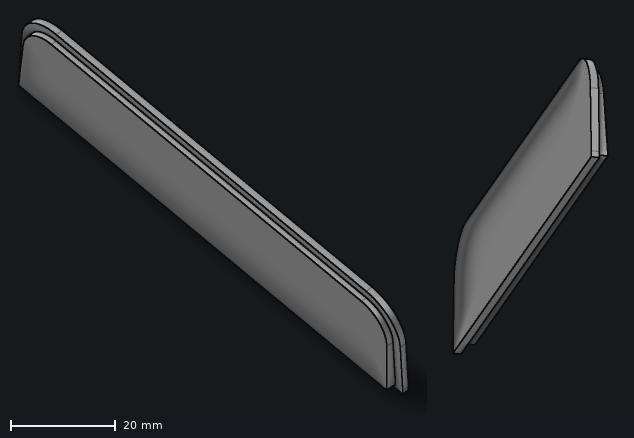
import math

import cadquery as cq

LENGTH = 105.0
HEIGHT = 23.4
DEPTH = 3.86

PLATE_THICKNESS = 1.6
PLATE_CORNER_RADIUS = 9.4
SIDE_ANGLE = 3.0
FOOT_HEIGHT = 1.3

PANEL_INSET = 2.0
FACE_ANGLE = 2.9

PLATE_DRAFT = 1.0
PANEL_DRAFT = 2.0

SIDE_SLOPE = math.tan(math.radians(SIDE_ANGLE))
FACE_SLOPE = math.tan(math.radians(FACE_ANGLE))


def rounded_outline(inset, bottom):
    """Outline at y = 0 with leaning ends and rounded top corners, and a foot if it starts low enough."""
    has_foot = bottom < FOOT_HEIGHT
    top = HEIGHT - inset
    foot_half_length = LENGTH / 2 - inset
    top_half_length = foot_half_length - (top - FOOT_HEIGHT) * SIDE_SLOPE
    corner_radius = PLATE_CORNER_RADIUS - inset

    tangent_length = corner_radius * math.tan(math.radians(90 - SIDE_ANGLE) / 2)
    arc_top_x = top_half_length - tangent_length
    arc_side_x = top_half_length + tangent_length * math.sin(math.radians(SIDE_ANGLE))
    arc_side_z = top - tangent_length * math.cos(math.radians(SIDE_ANGLE))
    bisector = math.radians(90 + SIDE_ANGLE) / 2
    arc_mid_x = arc_top_x + corner_radius * math.cos(bisector)
    arc_mid_z = top - corner_radius + corner_radius * math.sin(bisector)

    sketch = cq.Workplane("XZ").moveTo(-foot_half_length, bottom)
    sketch = sketch.lineTo(foot_half_length, bottom)
    if has_foot:
        sketch = sketch.lineTo(foot_half_length, FOOT_HEIGHT)
    sketch = sketch.lineTo(arc_side_x, arc_side_z)
    sketch = sketch.threePointArc((arc_mid_x, arc_mid_z), (arc_top_x, top))
    sketch = sketch.lineTo(-arc_top_x, top)
    sketch = sketch.threePointArc((-arc_mid_x, arc_mid_z), (-arc_side_x, arc_side_z))
    if has_foot:
        sketch = sketch.lineTo(-foot_half_length, FOOT_HEIGHT)
    return sketch.close()


def panel_wedge():
    """Wedge deepest at the bottom; its leaning face reaches full depth at the foot height."""
    front = PLATE_THICKNESS - DEPTH
    profile = [
        (0, 0),
        (front - FOOT_HEIGHT * FACE_SLOPE, 0),
        (front + (HEIGHT - FOOT_HEIGHT) * FACE_SLOPE, HEIGHT),
        (0, HEIGHT),
    ]
    return cq.Workplane("YZ").polyline(profile).close().extrude(LENGTH / 2, both=True)


plate = rounded_outline(0, 0).extrude(-PLATE_THICKNESS, taper=PLATE_DRAFT)
panel_blank = rounded_outline(PANEL_INSET, FOOT_HEIGHT).extrude(DEPTH, taper=PANEL_DRAFT)
panel = panel_blank.intersect(panel_wedge())

result = plate.union(panel)